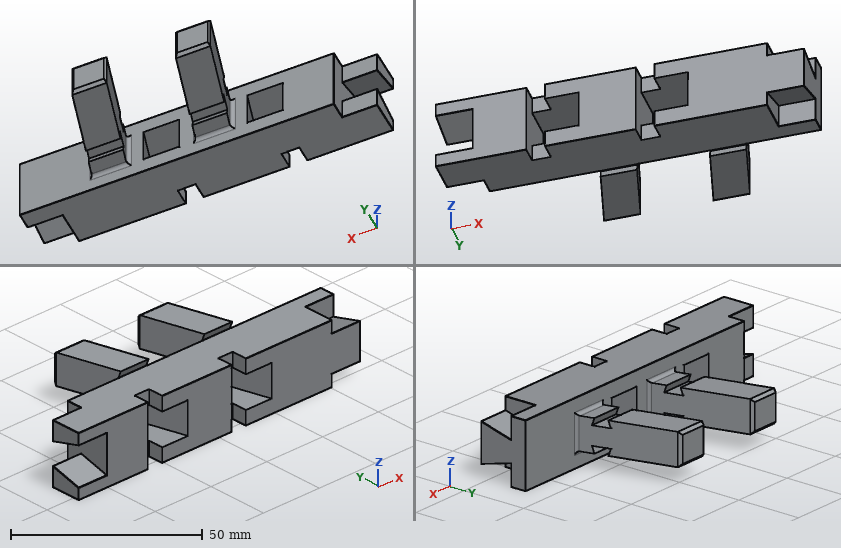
import cadquery as cq
import math

beam_length = 101.0
beam_depth = 15.0
beam_height = 20.0
mid_z = beam_height / 2
edge_break = 0.1

joint_length = 10.1
tongue_depth = 10.1
tongue_front_width = 12.1
socket_depth = 9.9
socket_front_width = 12.5
dovetail_angle = 15.0

hook_count = 2
hook_pitch = 30.0
hook_lean = 15.0
hook_width = 10.0
hook_height = 10.0
hook_root_x = 40.0
hook_tip_y = 44.0
tip_bevel_length = 0.9
tip_bevel_x = 0.6
tip_bevel_z = 0.9
root_fillet = 1.0

notch_center_y = 22.0
notch_mouth = 3.8
notch_floor = 5.3
notch_depth = 2.1

window_x = 24.8
window_front_width = 14.3
window_height = 10.6
groove_width = 5.1
groove_depth = 5.0

lean_slope = math.tan(math.radians(hook_lean))
dovetail_slope = math.tan(math.radians(dovetail_angle))
tongue_x = beam_length - joint_length


def box_between(low, high):
    """Box spanning two opposite corners."""
    size = [b - a for a, b in zip(low, high)]
    return cq.Workplane("XY").box(*size, centered=False).translate(low)


def dovetail(start_x, front_width, depth):
    """Prism along X, widest at the front face and narrowing towards the back."""
    front = front_width / 2
    back = front - depth * dovetail_slope
    outline = [
        (0, mid_z - front),
        (depth, mid_z - back),
        (depth, mid_z + back),
        (0, mid_z + front),
    ]
    plane = cq.Workplane("YZ", origin=(start_x, 0, 0))
    return plane.polyline(outline).close().extrude(joint_length)


def inner_corners(low_x, high_x, depth):
    """Selects the inward corners of a dovetail joint, which stay sharp."""
    low = (low_x - edge_break, edge_break, edge_break)
    high = (high_x + edge_break, depth + edge_break, beam_height - edge_break)
    return cq.selectors.BoxSelector(low, high)


def make_beam():
    beam = box_between((0, 0, 0), (beam_length, beam_depth, beam_height))

    beam = beam.cut(box_between((0, socket_depth, 0), (joint_length, beam_depth, beam_height)))
    beam = beam.cut(dovetail(0, socket_front_width, socket_depth))

    beam = beam.cut(box_between((tongue_x, 0, 0), (beam_length, tongue_depth, beam_height)))
    beam = beam.union(dovetail(tongue_x, tongue_front_width, tongue_depth))

    socket_corners = inner_corners(joint_length, joint_length, socket_depth)
    tongue_corners = inner_corners(tongue_x, tongue_x + joint_length / 2, tongue_depth)
    outward = cq.selectors.InverseSelector(cq.selectors.SumSelector(socket_corners, tongue_corners))
    return beam.edges(outward).chamfer(edge_break)


def make_hook(shift):
    """Leaning bar on the back face, ending in a bevelled tip."""
    root_x = hook_root_x + shift
    bevel_y = hook_tip_y - tip_bevel_length
    bevel_x = root_x - (bevel_y - beam_depth) * lean_slope
    outline = [
        (root_x, beam_depth),
        (root_x + hook_width, beam_depth),
        (bevel_x + hook_width, bevel_y),
        (bevel_x, bevel_y),
    ]
    underside = cq.Workplane("XY", origin=(0, 0, mid_z - hook_height / 2))
    bar = underside.polyline(outline).close().extrude(hook_height)

    tip_shift = -tip_bevel_length * lean_slope
    tip = (
        cq.Workplane("XZ", origin=(bevel_x + hook_width / 2, bevel_y, mid_z))
        .rect(hook_width, hook_height)
        .workplane(offset=-tip_bevel_length)
        .center(tip_shift, 0)
        .rect(hook_width - 2 * tip_bevel_x, hook_height - 2 * tip_bevel_z)
        .loft(ruled=True)
    )
    return bar.union(tip)


def hook_root_edges(shift):
    """Selects the four edges where a hook meets the back face."""
    root_x = hook_root_x + shift
    half = hook_height / 2 + edge_break
    low = (root_x - edge_break, beam_depth - edge_break, mid_z - half)
    high = (root_x + hook_width + edge_break, beam_depth + edge_break, mid_z + half)
    return cq.selectors.BoxSelector(low, high)


def make_notches():
    """Pair of undercut prisms along X, one above and one below the hooks."""
    top_z = hook_height / 2
    floor_z = top_z - notch_depth
    outline = [
        (-notch_mouth / 2, top_z),
        (-notch_floor / 2, floor_z),
        (notch_floor / 2, floor_z),
        (notch_mouth / 2, top_z),
    ]
    plane = cq.Workplane("YZ", origin=(0, notch_center_y, mid_z))
    upper = plane.polyline(outline).close().extrude(beam_length)
    lower = upper.mirror("XY", (0, 0, mid_z))
    return upper.union(lower)


def make_window(shift):
    """Opening with one wall parallel to the hooks, plus the groove across its low-X side."""
    low_x = window_x + shift
    front_x = low_x + window_front_width
    outline = [
        (low_x, 0),
        (front_x, 0),
        (front_x - beam_depth * lean_slope, beam_depth),
        (low_x, beam_depth),
    ]
    underside = cq.Workplane("XY", origin=(0, 0, mid_z - window_height / 2))
    window = underside.polyline(outline).close().extrude(window_height)
    groove = box_between((low_x, 0, 0), (low_x + groove_width, groove_depth, beam_height))
    return window.union(groove)


shifts = [index * hook_pitch for index in range(hook_count)]

result = make_beam()
for shift in shifts:
    result = result.union(make_hook(shift))
    result = result.edges(hook_root_edges(shift)).fillet(root_fillet)
result = result.cut(make_notches())
for shift in shifts:
    result = result.cut(make_window(shift))